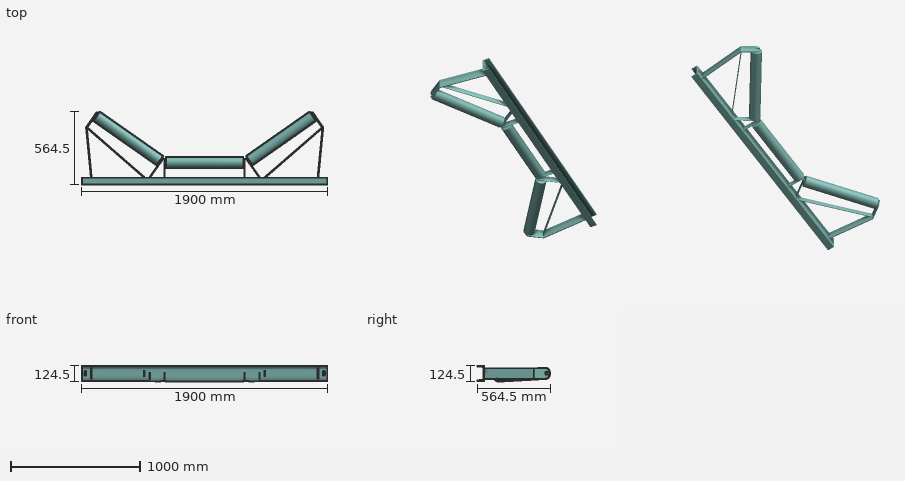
import cadquery as cq
import math

BEAM_LENGTH = 1900.0
BEAM_HEIGHT = 120.0
BEAM_WIDTH = 55.0
WEB_THICKNESS = 7.0
FLANGE_THICKNESS = 9.0
FLANGE_SLOPE = 0.08
ROOT_RADIUS = 9.0
TIP_RADIUS = 4.5
MOUNT_SLOT_WIDTH = 15.0
MOUNT_SLOT_HEIGHT = 35.0
MOUNT_SLOT_X = 922.0

ROLLER_DIAMETER = 89.0
ROLLER_LENGTH = 600.0
ROLLER_EDGE_RADIUS = 3.0
SHAFT_DIAMETER = 20.0
CENTER_ROLLER_Y = 170.5
INNER_AXIS_Z = -20.0
TROUGH_ANGLE = 35.0
OUTER_AXIS_Z = 0.0
WING_INNER_END = (346.0, 185.3, INNER_AXIS_Z)

END_GAP = 8.0
HEAD_BEYOND_AXIS = 28.0
OUTER_HEIGHT = 80.0
OUTER_THICKNESS = 8.0
OUTER_CORNER_RADIUS = 30.0
OUTER_BEND_RADIUS = 8.0
OUTER_DROP = 119.0
OUTER_FOOT_X = 881.0
INNER_HEIGHT = 50.0
INNER_THICKNESS = 4.0
STRUT_THICKNESS = 5.0
STRUT_HEIGHT = 44.0
STRUT_FOOT_X = 470.0
STRUT_TOP_GAP = 1.0
STRUT_TOP_RISE = 2.0
SHAFT_SLOT_WIDTH = 22.0
FOOT_ALLOWANCE = 10.0
MARGIN = 1.0

trough = math.radians(TROUGH_ANGLE)
tilt = math.asin((OUTER_AXIS_Z - INNER_AXIS_Z) / ROLLER_LENGTH)
along = (math.cos(trough), math.sin(trough))
across = (-math.sin(trough), math.cos(trough))


def plan_point(origin, axial, sideways):
    """Plan point at given distances along and across the wing axis from an origin."""
    return (
        origin[0] + axial * along[0] + sideways * across[0],
        origin[1] + axial * along[1] + sideways * across[1],
    )


wing_outer_end = plan_point(WING_INNER_END, ROLLER_LENGTH * math.cos(tilt), 0)
bend = plan_point(wing_outer_end, END_GAP + OUTER_THICKNESS, -OUTER_DROP)


def make_beam():
    """Channel with a mounting slot through the web at each end."""
    half = BEAM_HEIGHT / 2
    web_face = BEAM_WIDTH - WEB_THICKNESS
    root = FLANGE_THICKNESS + FLANGE_SLOPE * (web_face - BEAM_WIDTH / 2)
    tip = FLANGE_THICKNESS - FLANGE_SLOPE * BEAM_WIDTH / 2
    beam = (
        cq.Workplane("YZ")
        .polyline([
            (0, -half), (BEAM_WIDTH, -half), (BEAM_WIDTH, half), (0, half),
            (0, half - tip), (web_face, half - root),
            (web_face, root - half), (0, tip - half),
        ])
        .close()
        .extrude(BEAM_LENGTH / 2, both=True)
    )
    inside = half - tip + MARGIN
    root_edges = cq.selectors.BoxSelector(
        (-MARGIN, web_face - MARGIN, -inside), (MARGIN, web_face + MARGIN, inside))
    tip_edges = cq.selectors.BoxSelector(
        (-MARGIN, -MARGIN, -inside), (MARGIN, MARGIN, inside))
    beam = beam.edges("|X").edges(root_edges).fillet(ROOT_RADIUS)
    beam = beam.edges("|X").edges(tip_edges).fillet(TIP_RADIUS)
    slots = (
        cq.Workplane("XZ")
        .pushPoints([(-MOUNT_SLOT_X, 0), (MOUNT_SLOT_X, 0)])
        .slot2D(MOUNT_SLOT_HEIGHT, MOUNT_SLOT_WIDTH, 90)
        .extrude(-BEAM_WIDTH)
    )
    return beam.cut(slots)


def make_roller(start_plate, end_plate):
    """Roller along +X, its shell starting at the origin, its shaft reaching through both plates."""
    shell = (
        cq.Workplane("YZ").circle(ROLLER_DIAMETER / 2).extrude(ROLLER_LENGTH)
        .edges("%CIRCLE").fillet(ROLLER_EDGE_RADIUS)
    )
    start_overhang = END_GAP + start_plate
    end_overhang = END_GAP + end_plate
    shaft = (
        cq.Workplane("YZ").workplane(offset=-start_overhang)
        .circle(SHAFT_DIAMETER / 2)
        .extrude(start_overhang + ROLLER_LENGTH + end_overhang)
    )
    return shell.union(shaft)


def place_wing_roller(roller):
    """Tilt a roller, swing it to the trough angle and move it to the +X side."""
    return (
        roller.rotate((0, 0, 0), (0, 1, 0), -math.degrees(tilt))
        .rotate((0, 0, 0), (0, 0, 1), TROUGH_ANGLE)
        .translate(WING_INNER_END)
    )


def place_along(body, start, end, z):
    """Turn a body lying along +X to run from start towards end, at height z."""
    heading = math.degrees(math.atan2(end[1] - start[1], end[0] - start[0]))
    return body.rotate((0, 0, 0), (0, 0, 1), heading).translate((start[0], start[1], z))


def upright_plate(start, end, thickness, height, z, end_corner_radius=0):
    """Upright flat bar whose right-hand face, looking from start to end, joins them."""
    plate = cq.Workplane("XY").box(
        math.dist(start, end), thickness, height, centered=(False, False, True))
    if end_corner_radius:
        plate = plate.edges(">X and |Y").fillet(end_corner_radius)
    return place_along(plate, start, end, z)


def leg(foot, top, thickness, height, z):
    """Upright flat bar standing on the back of the beam, its foot cut flush with it."""
    allowance = FOOT_ALLOWANCE / math.dist(foot, top)
    start = (
        foot[0] - allowance * (top[0] - foot[0]),
        foot[1] - allowance * (top[1] - foot[1]),
    )
    beam_zone = cq.Workplane("XY").box(
        BEAM_LENGTH, BEAM_WIDTH, BEAM_HEIGHT, centered=(True, False, True))
    return upright_plate(start, top, thickness, height, z).cut(beam_zone)


def shaft_slot(axis_point, tip, cut_depth, z):
    """Cutter for a round-bottomed slot from a shaft axis out through the plate tip."""
    radius = SHAFT_SLOT_WIDTH / 2
    reach = math.dist(axis_point, tip) + MARGIN
    cutter = (
        cq.Workplane("XZ")
        .moveTo(0, radius)
        .hLine(reach)
        .vLine(-SHAFT_SLOT_WIDTH)
        .hLine(-reach)
        .threePointArc((-radius, 0), (0, radius))
        .close()
        .extrude(cut_depth, both=True)
    )
    return place_along(cutter, axis_point, tip, z)


def make_outer_bracket():
    """Bent bar from the beam to the outer shaft end, its head rounded and slotted."""
    face = END_GAP + OUTER_THICKNESS
    axis_point = plan_point(wing_outer_end, face, 0)
    tip = plan_point(wing_outer_end, face, HEAD_BEYOND_AXIS)
    head = upright_plate(
        bend, tip, OUTER_THICKNESS, OUTER_HEIGHT, OUTER_AXIS_Z, OUTER_CORNER_RADIUS)
    foot_start = (OUTER_FOOT_X, BEAM_WIDTH)
    foot = leg(foot_start, bend, OUTER_THICKNESS, OUTER_HEIGHT, OUTER_AXIS_Z)
    bend_edge = cq.selectors.BoxSelector(
        (bend[0] - MARGIN, bend[1] - MARGIN, OUTER_AXIS_Z - MARGIN),
        (bend[0] + MARGIN, bend[1] + MARGIN, OUTER_AXIS_Z + MARGIN))
    bracket = head.union(foot).edges("|Z").edges(bend_edge).fillet(OUTER_BEND_RADIUS)
    return bracket.cut(shaft_slot(axis_point, tip, OUTER_THICKNESS + MARGIN, OUTER_AXIS_Z))


def make_strut():
    """Flat bar from the beam to the inner side of the outer bracket, at its bend."""
    foot = (STRUT_FOOT_X, BEAM_WIDTH)
    top = plan_point(bend, -OUTER_THICKNESS - STRUT_TOP_GAP, STRUT_TOP_RISE)
    return leg(foot, top, STRUT_THICKNESS, STRUT_HEIGHT, OUTER_AXIS_Z)


def make_inner_bracket():
    """Folded sheet: a wing leg and a centre leg joined by a short fold at the top."""
    wing_axis = plan_point(WING_INNER_END, -END_GAP, 0)
    wing_tip = plan_point(wing_axis, 0, HEAD_BEYOND_AXIS)
    wing_foot = plan_point(wing_axis, 0, (BEAM_WIDTH - wing_axis[1]) / across[1])
    wing_leg = leg(wing_foot, wing_tip, INNER_THICKNESS, INNER_HEIGHT, INNER_AXIS_Z)

    center_x = ROLLER_LENGTH / 2 + END_GAP + INNER_THICKNESS
    center_axis = (center_x, CENTER_ROLLER_Y)
    center_tip = (center_x, CENTER_ROLLER_Y + HEAD_BEYOND_AXIS)
    center_foot = (center_x, BEAM_WIDTH)
    center_leg = leg(center_foot, center_tip, INNER_THICKNESS, INNER_HEIGHT, INNER_AXIS_Z)

    wing_back_tip = plan_point(wing_tip, -INNER_THICKNESS, 0)
    wing_back_low = plan_point(wing_back_tip, 0, -INNER_THICKNESS)
    fold = (
        cq.Workplane("XY").workplane(offset=INNER_AXIS_Z - INNER_HEIGHT / 2)
        .polyline([
            center_tip, wing_back_tip, wing_back_low,
            (center_x, center_tip[1] - INNER_THICKNESS),
        ])
        .close()
        .extrude(INNER_HEIGHT)
    )
    bracket = wing_leg.union(center_leg).union(fold)
    cut_depth = INNER_THICKNESS + MARGIN
    wing_slot = shaft_slot(wing_axis, wing_tip, cut_depth, INNER_AXIS_Z)
    center_slot = shaft_slot(center_axis, center_tip, cut_depth, INNER_AXIS_Z)
    return bracket.cut(wing_slot).cut(center_slot)


beam = make_beam()
center_roller = make_roller(INNER_THICKNESS, INNER_THICKNESS).translate(
    (-ROLLER_LENGTH / 2, CENTER_ROLLER_Y, INNER_AXIS_Z))
bodies = [beam.val(), center_roller.val()]

right_side = [
    place_wing_roller(make_roller(INNER_THICKNESS, OUTER_THICKNESS)),
    make_outer_bracket(),
    make_strut(),
    make_inner_bracket(),
]
for body in right_side:
    bodies.append(body.val())
    bodies.append(body.mirror("YZ").val())

result = cq.Compound.makeCompound(bodies)